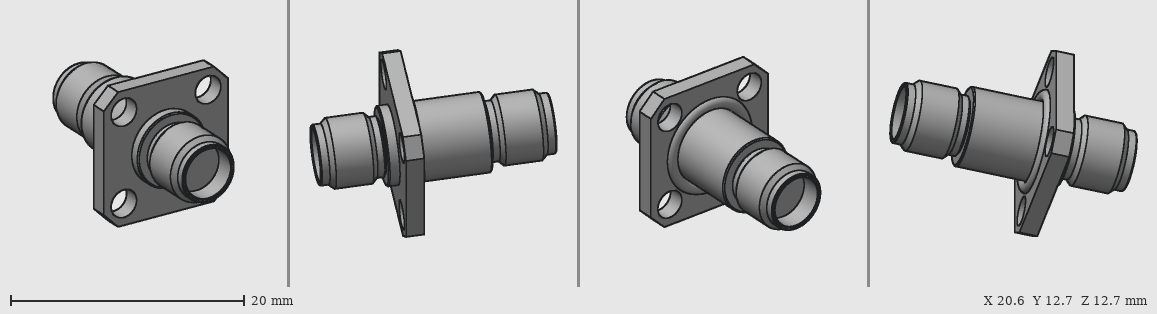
import cadquery as cq

length = 20.6
body_length = 9.1
body_radius = 3.5
body_chamfer = 0.12
neck_radius = 2.4
neck_width = 0.16

land_radius = 2.65
tip_chamfer = 0.1
tip_length = 0.78
thread_radius = 3.1
thread_start = 1.25
thread_end = 4.53
runout_end = thread_end + thread_radius - land_radius

bore_radius = 2.3
bore_chamfer = 0.08
bore_depth = 1.95

flange_size = 12.7
flange_thickness = 1.6
flange_face_x = 12.25
flange_corner = 1.46
hole_radius = 1.3
hole_spacing = 8.61

ring_section_radius = 0.54
ring_stand_out = 0.43
ring_radius = body_radius + ring_section_radius
groove_depth = 2 * ring_section_radius - ring_stand_out
groove_outer_radius = ring_radius + ring_section_radius

axis_start = (0, 0, 0)
axis_end = (1, 0, 0)


def make_barrel():
    """Stepped barrel with a threaded end and a neck on either side of the body."""
    body_start = (length - body_length) / 2
    half_profile = [
        (0, land_radius - tip_chamfer),
        (tip_chamfer, land_radius),
        (tip_length, land_radius),
        (thread_start, thread_radius),
        (thread_end, thread_radius),
        (runout_end, land_radius),
        (body_start - neck_width, land_radius),
        (body_start - neck_width, neck_radius),
        (body_start, neck_radius),
        (body_start, body_radius - body_chamfer),
        (body_start + body_chamfer, body_radius),
    ]
    mirrored_half = [(length - x, radius) for x, radius in reversed(half_profile)]
    profile = [(0, 0), *half_profile, *mirrored_half, (length, 0)]
    return cq.Workplane("XY").polyline(profile).close().revolve(360, axis_start, axis_end)


def make_flange():
    """Square plate with cut corners and four mounting holes."""
    plane = cq.Workplane("YZ", origin=(flange_face_x, 0, 0))
    plate = plane.rect(flange_size, flange_size).extrude(flange_thickness)
    plate = plate.edges("|X").chamfer(flange_corner)
    holes = (
        plane.rect(hole_spacing, hole_spacing, forConstruction=True)
        .vertices()
        .circle(hole_radius)
        .extrude(flange_thickness)
    )
    return plate.cut(holes)


def make_bore():
    """Flat-bottomed bore at the -X end, with its mouth chamfered at 45 degrees."""
    profile = [
        (0, 0),
        (0, bore_radius + bore_chamfer),
        (bore_chamfer, bore_radius),
        (bore_depth, bore_radius),
        (bore_depth, 0),
    ]
    return cq.Workplane("XY").polyline(profile).close().revolve(360, axis_start, axis_end)


def make_groove():
    """Annular recess for the sealing ring in the -X face of the flange."""
    return (
        cq.Workplane("YZ", origin=(flange_face_x, 0, 0))
        .circle(groove_outer_radius)
        .circle(body_radius)
        .extrude(groove_depth)
    )


def make_housing():
    housing = make_barrel().union(make_flange())
    bore = make_bore()
    opposite_bore = bore.mirror("YZ", (length / 2, 0, 0))
    return housing.cut(bore).cut(opposite_bore).cut(make_groove())


def make_sealing_ring():
    """Round-section ring lying on the floor of the groove."""
    centre_x = flange_face_x - ring_stand_out + ring_section_radius
    return (
        cq.Workplane("XY")
        .center(centre_x, ring_radius)
        .circle(ring_section_radius)
        .revolve(360, (0, -ring_radius, 0), (1, -ring_radius, 0))
    )


housing = make_housing()
sealing_ring = make_sealing_ring()

result = cq.Compound.makeCompound([housing.val(), sealing_ring.val()])